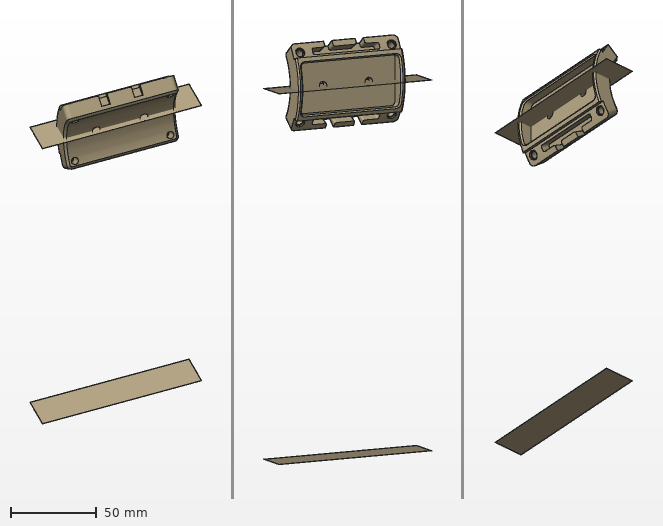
import cadquery as cq
import math

axis_x = 47.7
inner_radius = 31.0
flange_radius = 41.3
boss_radius = 44.0

body_width = 70.0
body_half_angle = 38.7
corner_radius = 3.0
inner_edge_chamfer = 1.5

boss_half_angle = 25.2
boss_edge_chamfer = 1.0
boss_overlap = 2.5

pocket_width = 64.2
pocket_height = 31.0
pocket_back_x = 12.3
pocket_corner_radius = 2.5
pocket_edge_chamfer = 1.0

wall_hole_diameter = 5.0
wall_hole_spacing = 30.0

flange_feature_angle = 30.5
slot_length = 43.8
slot_width = 4.2
slot_floor_radius = 34.5
slot_corner_radius = 1.2
notch_width = 5.5
notch_length = 14.8
upper_notch_spacing = 20.7
lower_notch_spacing = 18.5
screw_spacing = 60.0
screw_hole_diameter = 4.2
screw_recess_diameter = 5.7
screw_recess_depth = 1.2

sheet_length = 100.0
sheet_width = 20.0
sheet_drop = 220.0

reach = boss_radius + 2.5
selection_margin = 0.2


def polar(radius, angle):
    """Point (x, z) on a circle about the axis; angle 0 points to -X, positive goes up."""
    turn = math.radians(angle)
    return axis_x - radius * math.cos(turn), radius * math.sin(turn)


def ring_sector(small_radius, large_radius, start, end, width):
    """Ring sector between two angles, centred on y = 0."""
    middle = (start + end) / 2
    return (
        cq.Workplane("XZ")
        .moveTo(*polar(small_radius, start))
        .threePointArc(polar(small_radius, middle), polar(small_radius, end))
        .lineTo(*polar(large_radius, end))
        .threePointArc(polar(large_radius, middle), polar(large_radius, start))
        .close()
        .extrude(width / 2, both=True)
    )


def flange_plane(side):
    """Plane on the axis looking radially out through the flange; side is +1 up or -1 down."""
    turn = math.radians(side * flange_feature_angle)
    outward = (-math.cos(turn), 0, math.sin(turn))
    return cq.Plane(origin=(axis_x, 0, 0), xDir=(0, 1, 0), normal=outward)


def body():
    """Flanged ring sector with rounded corners and chamfered inner edges."""
    sector = ring_sector(inner_radius, flange_radius, -body_half_angle, body_half_angle, body_width)
    end_corners = sector.edges("%LINE").edges("not(|Y)")
    rounded = end_corners.fillet(corner_radius)
    inner_wall = rounded.faces(cq.selectors.NearestToPointSelector((axis_x - inner_radius, 0, 0)))
    return inner_wall.edges().chamfer(inner_edge_chamfer)


def boss():
    """Raised curved pad with its two long arcs chamfered."""
    pad = ring_sector(
        flange_radius - boss_overlap, boss_radius, -boss_half_angle, boss_half_angle, body_width
    )
    outer_wall = pad.faces(cq.selectors.NearestToPointSelector((axis_x - boss_radius, 0, 0)))
    return outer_wall.edges("not(|Y)").chamfer(boss_edge_chamfer)


def cut_pocket(part):
    """Rounded rectangular pocket with a chamfered mouth."""
    cutter = (
        cq.Workplane("YZ", origin=(pocket_back_x, 0, 0))
        .rect(pocket_width, pocket_height)
        .extrude(-reach)
        .edges("|X")
        .fillet(pocket_corner_radius)
    )
    pocketed = part.cut(cutter)
    half_width = pocket_width / 2 + selection_margin
    half_height = pocket_height / 2 + selection_margin
    mouth_box = cq.selectors.BoxSelector(
        (0, -half_width, -half_height),
        (pocket_back_x - selection_margin, half_width, half_height),
        boundingbox=True,
    )
    return pocketed.edges(mouth_box).chamfer(pocket_edge_chamfer)


def wall_holes():
    """Pair of holes along X."""
    return (
        cq.Workplane("YZ")
        .pushPoints([(-wall_hole_spacing / 2, 0), (wall_hole_spacing / 2, 0)])
        .circle(wall_hole_diameter / 2)
        .extrude(axis_x)
    )


def slot_cut(side, notch_spacing):
    """Slot with two notches that open it to the flange end, down to a common floor."""
    plane = flange_plane(side)
    floor = cq.Workplane(plane).workplane(offset=slot_floor_radius)
    depth = reach - slot_floor_radius
    cut = floor.rect(slot_length, slot_width).extrude(depth)
    toward_end = -side * notch_length / 2
    notch_points = [(-notch_spacing / 2, toward_end), (notch_spacing / 2, toward_end)]
    notches = floor.pushPoints(notch_points).rect(notch_width, notch_length).extrude(depth)
    radial_edges = cq.selectors.ParallelDirSelector(plane.zDir)
    return cut.union(notches).edges(radial_edges).fillet(slot_corner_radius)


def screw_cuts(side):
    """Two recessed screw holes running radially through one flange."""
    plane = flange_plane(side)
    screw_points = [(-screw_spacing / 2, 0), (screw_spacing / 2, 0)]
    holes = cq.Workplane(plane).pushPoints(screw_points).circle(screw_hole_diameter / 2).extrude(reach)
    recesses = (
        cq.Workplane(plane)
        .workplane(offset=flange_radius - screw_recess_depth)
        .pushPoints(screw_points)
        .circle(screw_recess_diameter / 2)
        .extrude(reach - flange_radius)
    )
    return holes.union(recesses)


def sheet(z):
    """Flat rectangular face of zero thickness."""
    return cq.Face.makePlane(sheet_length, sheet_width, (sheet_width / 2, 0, z), (0, 0, 1))


part = cut_pocket(body().union(boss())).cut(wall_holes())
for side, notch_spacing in ((1, upper_notch_spacing), (-1, lower_notch_spacing)):
    part = part.cut(slot_cut(side, notch_spacing)).cut(screw_cuts(side))

result = cq.Workplane(obj=cq.Compound.makeCompound([part.val(), sheet(0), sheet(-sheet_drop)]))